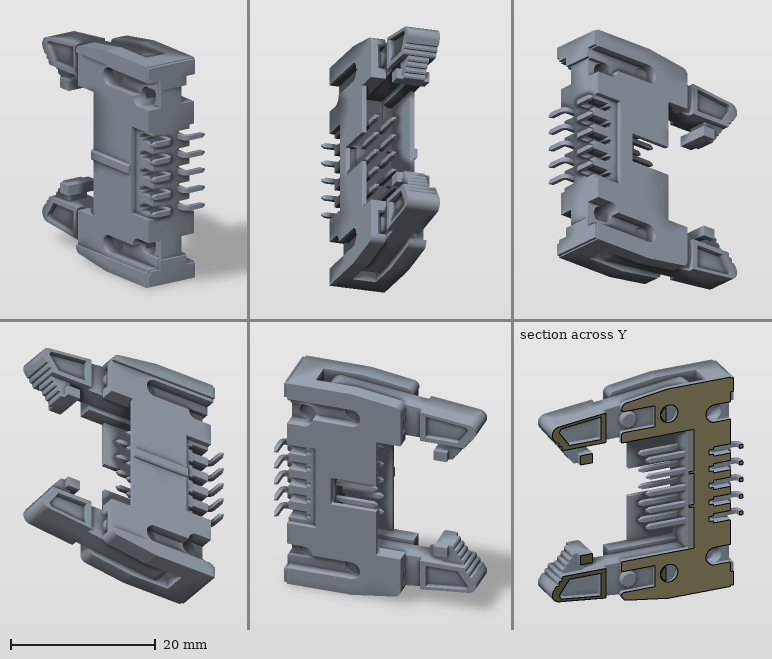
import cadquery as cq
import math


HALF_LENGTH = 16.0
HALF_WIDTH = 3.87
TOWER_FRONT = -16.6
MOUTH_FRONT = -13.02
TOWER_INNER_Z = 9.02
WEDGE_START_X = -9.47
TOWER_FRONT_TOP = 14.98
TOWER_ROUND = 1.0
FLANGE_BOTTOM = 14.0
FLANGE_OUTER_Y = 4.3

CAVITY_HALF_WIDTH = 3.2
CAVITY_FLOOR = -6.4
FLOOR_POCKET_INNER_Y = 2.18
FLOOR_POCKET_DEPTH = 0.75
POCKET_RAMP_START_Z = 6.8
FLOOR_RIB_Z = 2.55
FLOOR_RIB_WIDTH = 0.45
NOTCH_HALF_WIDTH = 2.1

KEY_HALF_WIDTH = 0.75
KEY_OUTER_Y = 4.32
KEY_CHAMFER_Z = 0.22
KEY_CHAMFER_Y = 0.15

CHANNEL_HALF_WIDTH = 1.7
CHANNEL_END = -3.5
CHANNEL_BOTTOM = 6.3
CHANNEL_RAMP_END = -4.75
CHANNEL_RAMP_RISE = 1.12
TRACK_HALF_WIDTH = 2.53
TRACK_BOTTOM = 10.62
TRACK_TOP = 13.75
TRACK_END = -11.52
TRACK_LEAD_Y = 0.35
TRACK_LEAD_Z = 0.22
TRACK_LEAD_DEPTH = 0.32

PIVOT_X = -9.38
PIVOT_Z = 12.15
HOLE_DIAMETER = 2.6
SLOT_WIDTH = 2.7
SLOT_FLOOR_Y = 2.4
MOUNT_X = -2.43
MOUNT_Z = 10.88
MOUNT_SLOT_FLOOR_Y = 1.75

PLATE_THICKNESS = 0.48
PLATE_INSET = 0.15

PIN_ROWS = 5
PIN_ROW_SPAN = 10.18
PIN_PITCH = PIN_ROW_SPAN / (PIN_ROWS - 1)
PIN_WIDTH = 0.65
PIN_FRONT = -12.4
PIN_BACK = 1.9
PIN_SPAN_Y = 9.0
PIN_END_Y = PIN_SPAN_Y / 2
PIN_TIP_LENGTH = 0.55
PIN_TIP_WIDTH = 0.22
PIN_BEND_RADIUS = 0.95
RECESS_FRONT = -4.15
RECESS_HALF_LENGTH = 6.35
RECESS_FLOOR_Y = 3.1
PIN_NECK_FRONT = -3.25
PIN_NECK_WIDTH = 0.67
PIN_SLOT_FRONT = -2.6
PIN_SLOT_WIDTH = 1.35

STEM_HALF_WIDTH = 1.5
GRIP_HALF_WIDTH = 2.4
GRIP_END = -18.95
LATCH_TIP = -27.15
LATCH_END = CHANNEL_RAMP_END
LATCH_SLOPE = math.radians(6.2)
TIP_RADIUS = 1.2
TIP_CENTRE_X = LATCH_TIP + TIP_RADIUS
TIP_CENTRE_Z = 12.2
TIP_ARC_END = math.radians(214)
LATCH_END_RADIUS = 1.45
SERRATION_FIRST_X = -26.15
SERRATION_FIRST_Z = 10.9
SERRATION_RISER = 0.45
SERRATION_CHAMFER_X = 0.15
SERRATION_CHAMFER_Z = 0.22
SERRATION_STEP_X = 0.5
SERRATION_STEP_Z = SERRATION_RISER + SERRATION_CHAMFER_Z
GRIP_RISERS = 2
WEB_RISERS = 4
LATCH_BOTTOM = SERRATION_FIRST_Z - GRIP_RISERS * SERRATION_STEP_Z
WEB_END = -22.0
HOOK_FRONT = -22.88
HOOK_BACK = -20.93
HOOK_TOP = 8.35
HOOK_BOTTOM = SERRATION_FIRST_Z - (GRIP_RISERS + WEB_RISERS) * SERRATION_STEP_Z
POCKET_BACK = -19.75
POCKET_FRONT_LOW = -24.48
POCKET_FRONT = -25.95
POCKET_BOTTOM = 10.25
POCKET_NOSE_Z = 12.32
POCKET_TOP_BACK = 13.6
POCKET_CORNER_RADIUS = 0.5
BOSS_DIAMETER = 2.5
BOSS_RAMP_X = -10.2
BOSS_RAMP_END_Y = 1.92
DETENT_X = -15.35
DETENT_HEIGHT = 0.7
DETENT_CHAMFER = 0.25

PAST = 1.6


def box(x0, x1, y0, y1, z0, z1):
    """Box between two opposite corners."""
    return cq.Workplane("XY").box(x1 - x0, y1 - y0, z1 - z0, centered=False).translate((x0, y0, z0))


def xz_prism(wire, y0, y1):
    """Extrude a closed outline drawn on the XZ plane from y0 to y1."""
    return wire.extrude(-(y1 - y0)).translate((0, y0, 0))


def y_cylinder(x, z, diameter, y0, y1):
    """Cylinder along Y."""
    return xz_prism(cq.Workplane("XZ").center(x, z).circle(diameter / 2), y0, y1)


def with_mirror(shape, plane):
    """A shape together with its mirror image."""
    return shape.union(shape.mirror(plane))




def housing_shell():
    """Middle block and two towers, with wedge-shaped outer ends and a flange on the -Y side."""

    def tower(y0, y1, bottom):
        outline = (
            cq.Workplane("XZ")
            .moveTo(TOWER_FRONT, bottom)
            .lineTo(TOWER_FRONT, TOWER_FRONT_TOP)
            .lineTo(WEDGE_START_X, HALF_LENGTH)
            .lineTo(0, HALF_LENGTH)
            .lineTo(0, bottom)
            .close()
        )
        corner = cq.selectors.NearestToPointSelector((TOWER_FRONT, (y0 + y1) / 2, TOWER_FRONT_TOP))
        return xz_prism(outline, y0, y1).edges(corner).fillet(TOWER_ROUND)

    upper = tower(-HALF_WIDTH, HALF_WIDTH, TOWER_INNER_Z)
    upper = upper.union(tower(-FLANGE_OUTER_Y, HALF_WIDTH, FLANGE_BOTTOM))
    middle = box(MOUTH_FRONT, 0, -HALF_WIDTH, HALF_WIDTH, -TOWER_INNER_Z, TOWER_INNER_Z)
    return with_mirror(upper, "XY").union(middle)


def cavity():
    """Mating cavity, its keying notch in the +Y wall, and the pockets in its floor."""
    cut = box(MOUTH_FRONT - PAST, CAVITY_FLOOR, -CAVITY_HALF_WIDTH, CAVITY_HALF_WIDTH,
              -TOWER_INNER_Z, TOWER_INNER_Z)
    cut = cut.union(box(MOUTH_FRONT - PAST, CAVITY_FLOOR, 0, HALF_WIDTH + PAST,
                        -NOTCH_HALF_WIDTH, NOTCH_HALF_WIDTH))
    rib_inner = FLOOR_RIB_Z - FLOOR_RIB_WIDTH / 2
    rib_outer = FLOOR_RIB_Z + FLOOR_RIB_WIDTH / 2
    inner_y, outer_y = FLOOR_POCKET_INNER_Y, CAVITY_HALF_WIDTH
    pocket_back = CAVITY_FLOOR + FLOOR_POCKET_DEPTH
    middle_pocket = box(CAVITY_FLOOR, pocket_back, inner_y, outer_y, -rib_inner, rib_inner)
    plain_pocket = box(CAVITY_FLOOR, pocket_back, -outer_y, -inner_y, rib_outer, TOWER_INNER_Z)
    ramped_outline = (
        cq.Workplane("XZ")
        .polyline([
            (CAVITY_FLOOR, rib_outer),
            (pocket_back, rib_outer),
            (pocket_back, POCKET_RAMP_START_Z),
            (CAVITY_FLOOR, TOWER_INNER_Z),
        ])
        .close()
    )
    ramped_pocket = xz_prism(ramped_outline, inner_y, outer_y)
    cut = cut.union(with_mirror(middle_pocket, "XZ"))
    return cut.union(with_mirror(plain_pocket, "XY")).union(with_mirror(ramped_pocket, "XY"))


def polarising_key():
    """Chamfered rib on the -Y face, from the mouth to the back recess."""
    return (
        cq.Workplane("YZ")
        .polyline([
            (-CAVITY_HALF_WIDTH, KEY_HALF_WIDTH),
            (-KEY_OUTER_Y + KEY_CHAMFER_Y, KEY_HALF_WIDTH),
            (-KEY_OUTER_Y, KEY_HALF_WIDTH - KEY_CHAMFER_Z),
            (-KEY_OUTER_Y, -KEY_HALF_WIDTH + KEY_CHAMFER_Z),
            (-KEY_OUTER_Y + KEY_CHAMFER_Y, -KEY_HALF_WIDTH),
            (-CAVITY_HALF_WIDTH, -KEY_HALF_WIDTH),
        ])
        .close()
        .extrude(RECESS_FRONT - MOUTH_FRONT)
        .translate((MOUTH_FRONT, 0, 0))
    )


def latch_channel():
    """Slit for the upper latch, open at the top and front, with a ramp in its floor."""
    outline = (
        cq.Workplane("XZ")
        .moveTo(TOWER_FRONT - PAST, CHANNEL_BOTTOM)
        .lineTo(CAVITY_FLOOR, CHANNEL_BOTTOM)
        .lineTo(CHANNEL_RAMP_END, CHANNEL_BOTTOM + CHANNEL_RAMP_RISE)
        .lineTo(CHANNEL_END, CHANNEL_BOTTOM + CHANNEL_RAMP_RISE)
        .lineTo(CHANNEL_END, HALF_LENGTH + PAST)
        .lineTo(TOWER_FRONT - PAST, HALF_LENGTH + PAST)
        .close()
    )
    return xz_prism(outline, -CHANNEL_HALF_WIDTH, CHANNEL_HALF_WIDTH)


def latch_track():
    """Wider track for the latch bosses, with a flared lead-in at the tower front."""
    track = box(TOWER_FRONT, TRACK_END, -TRACK_HALF_WIDTH, TRACK_HALF_WIDTH, TRACK_BOTTOM, TRACK_TOP)
    width = 2 * TRACK_HALF_WIDTH
    height = TRACK_TOP - TRACK_BOTTOM
    lead_in = (
        cq.Workplane("YZ", origin=(TOWER_FRONT, 0, (TRACK_TOP + TRACK_BOTTOM) / 2))
        .rect(width + 2 * TRACK_LEAD_Y, height + 2 * TRACK_LEAD_Z)
        .workplane(offset=TRACK_LEAD_DEPTH)
        .rect(width, height)
        .loft(ruled=True)
    )
    return track.union(lead_in)


def side_slots():
    """Pivot hole, mounting hole and the slots that run from them to the back face."""
    pivot = y_cylinder(PIVOT_X, PIVOT_Z, HOLE_DIAMETER, -SLOT_FLOOR_Y, SLOT_FLOOR_Y)
    outside = HALF_WIDTH + PAST
    mount = y_cylinder(MOUNT_X, MOUNT_Z, HOLE_DIAMETER, -outside, outside)
    slot_half = SLOT_WIDTH / 2
    slot = y_cylinder(PIVOT_X, PIVOT_Z, SLOT_WIDTH, SLOT_FLOOR_Y, outside)
    slot = slot.union(
        box(PIVOT_X, PAST, SLOT_FLOOR_Y, outside, PIVOT_Z - slot_half, PIVOT_Z + slot_half)
    )
    hole_half = HOLE_DIAMETER / 2
    slot = slot.union(
        box(MOUNT_X, PAST, MOUNT_SLOT_FLOOR_Y, outside, MOUNT_Z - hole_half, MOUNT_Z + hole_half)
    )
    return pivot.union(mount).union(with_mirror(slot, "XZ"))


def back_plate():
    """Thin raised plate on the back of the upper tower, inset from the tower's back outline."""
    bottom = MOUNT_Z + HOLE_DIAMETER / 2 + PLATE_INSET
    slot_top = PIVOT_Z + SLOT_WIDTH / 2 + PLATE_INSET
    flange_bottom = FLANGE_BOTTOM + PLATE_INSET
    top = HALF_LENGTH - PLATE_INSET
    core_y = SLOT_FLOOR_Y - PLATE_INSET
    side_y = HALF_WIDTH - PLATE_INSET
    flange_y = FLANGE_OUTER_Y - PLATE_INSET
    plate = box(0, PLATE_THICKNESS, -core_y, core_y, bottom, top)
    plate = plate.union(box(0, PLATE_THICKNESS, -side_y, side_y, slot_top, top))
    return plate.union(box(0, PLATE_THICKNESS, -flange_y, side_y, flange_bottom, top))


def pin_recess():
    """Recess on the +Y side at the back, with a necked slot over each pin."""
    outside = HALF_WIDTH + PAST
    cut = box(RECESS_FRONT, PAST, RECESS_FLOOR_Y, outside, -RECESS_HALF_LENGTH, RECESS_HALF_LENGTH)
    slot_floor = PIN_PITCH / 2
    for z in pin_heights():
        for front, width in ((PIN_NECK_FRONT, PIN_NECK_WIDTH), (PIN_SLOT_FRONT, PIN_SLOT_WIDTH)):
            cut = cut.union(box(front, PAST, slot_floor, outside, z - width / 2, z + width / 2))
    return cut


def pin_heights():
    """Z positions of the pin rows."""
    return [(row - (PIN_ROWS - 1) / 2) * PIN_PITCH for row in range(PIN_ROWS)]


def pin():
    """Square pin at z = 0 on the +Y side: straight through the floor, then bent outwards."""
    half = PIN_WIDTH / 2
    inner_y = PIN_PITCH / 2 - half
    outer_y = PIN_PITCH / 2 + half
    inner_radius = PIN_BEND_RADIUS - PIN_WIDTH
    shank_front = PIN_FRONT + PIN_TIP_LENGTH
    shank_end = PIN_END_Y - PIN_TIP_LENGTH
    leg_x = PIN_BACK - PIN_WIDTH
    shank = (
        cq.Workplane("XY")
        .moveTo(shank_front, inner_y)
        .lineTo(PIN_BACK - PIN_BEND_RADIUS, inner_y)
        .radiusArc((PIN_BACK, inner_y + PIN_BEND_RADIUS), -PIN_BEND_RADIUS)
        .lineTo(PIN_BACK, shank_end)
        .lineTo(leg_x, shank_end)
        .lineTo(leg_x, outer_y + inner_radius)
        .radiusArc((leg_x - inner_radius, outer_y), inner_radius)
        .lineTo(shank_front, outer_y)
        .close()
        .extrude(half, both=True)
    )
    taper = math.degrees(math.atan((PIN_WIDTH - PIN_TIP_WIDTH) / 2 / PIN_TIP_LENGTH))

    def tip(base, direction):
        plane = cq.Plane(origin=base, xDir=(0, 0, 1), normal=direction)
        return cq.Workplane(plane).rect(PIN_WIDTH, PIN_WIDTH).extrude(PIN_TIP_LENGTH, taper=taper)

    front_tip = tip((shank_front, PIN_PITCH / 2, 0), (-1, 0, 0))
    end_tip = tip((PIN_BACK - half, shank_end, 0), (0, 1, 0))
    return shank.union(front_tip).union(end_tip)


def make_housing():
    """Moulded housing with its fixed contact pins, as one body."""
    upper_cuts = latch_channel().union(latch_track()).union(side_slots())
    body = housing_shell().union(polarising_key())
    body = body.cut(cavity()).cut(with_mirror(upper_cuts, "XY")).cut(with_mirror(pin_recess(), "XZ"))
    body = body.union(with_mirror(back_plate(), "XY"))
    pin_pair = with_mirror(pin(), "XZ")
    for z in pin_heights():
        body = body.union(pin_pair.translate((0, 0, z)))
    return body




def tip_point(angle):
    """Point at an angle around the centre of the rounded latch tip."""
    return (TIP_CENTRE_X + TIP_RADIUS * math.cos(angle), TIP_CENTRE_Z + TIP_RADIUS * math.sin(angle))


def latch_top(x):
    """Height of the sloped top of the latch, tangent to its rounded tip."""
    return TIP_CENTRE_Z + TIP_RADIUS / math.cos(LATCH_SLOPE) + (x - TIP_CENTRE_X) * math.tan(LATCH_SLOPE)


def riser(index):
    """Top and bottom points of one serration riser, and the foot of the chamfer below it."""
    x = SERRATION_FIRST_X + index * SERRATION_STEP_X
    z = SERRATION_FIRST_Z - index * SERRATION_STEP_Z
    return [(x, z), (x, z - SERRATION_RISER), (x + SERRATION_CHAMFER_X, z - SERRATION_STEP_Z)]


def latch_grip():
    """Wide finger grip with a rounded tip and the first serrations."""
    tangent = math.pi / 2 + LATCH_SLOPE
    arc_end = tip_point(TIP_ARC_END)
    drop = arc_end[1] - SERRATION_FIRST_Z
    under_tip = (arc_end[0] + drop * math.tan(TIP_ARC_END - math.pi), SERRATION_FIRST_Z)
    outline = (
        cq.Workplane("XZ")
        .moveTo(GRIP_END, latch_top(GRIP_END))
        .lineTo(*tip_point(tangent))
        .threePointArc(tip_point((tangent + TIP_ARC_END) / 2), arc_end)
        .lineTo(*under_tip)
    )
    for index in range(GRIP_RISERS):
        for point in riser(index):
            outline = outline.lineTo(*point)
    outline = outline.lineTo(GRIP_END, LATCH_BOTTOM).close()
    return xz_prism(outline, -GRIP_HALF_WIDTH, GRIP_HALF_WIDTH)


def grip_pocket():
    """Recess in the +Y side of the grip, down to the stem width."""
    top_front = POCKET_TOP_BACK - (POCKET_BACK - POCKET_FRONT) * math.tan(LATCH_SLOPE)
    outline = (
        cq.Workplane("XZ")
        .polyline([
            (POCKET_BACK, POCKET_TOP_BACK),
            (POCKET_BACK, POCKET_BOTTOM),
            (POCKET_FRONT_LOW, POCKET_BOTTOM),
            (POCKET_FRONT, POCKET_NOSE_Z),
            (POCKET_FRONT, top_front),
        ])
        .close()
    )
    pocket = xz_prism(outline, STEM_HALF_WIDTH, GRIP_HALF_WIDTH)
    middle_y = (STEM_HALF_WIDTH + GRIP_HALF_WIDTH) / 2
    corner = cq.selectors.NearestToPointSelector((POCKET_FRONT, middle_y, top_front))
    return pocket.edges(corner).fillet(POCKET_CORNER_RADIUS)


def latch_stem():
    """Narrow arm from the grip to the rounded pivot end, with the ejector foot resting on the ramp."""
    outline = (
        cq.Workplane("XZ")
        .polyline([
            (GRIP_END, LATCH_BOTTOM),
            (CAVITY_FLOOR, LATCH_BOTTOM),
            (CAVITY_FLOOR, CHANNEL_BOTTOM),
            (LATCH_END, CHANNEL_BOTTOM + CHANNEL_RAMP_RISE),
            (LATCH_END, latch_top(LATCH_END)),
            (GRIP_END, latch_top(GRIP_END)),
        ])
        .close()
    )
    stem = xz_prism(outline, -STEM_HALF_WIDTH, STEM_HALF_WIDTH)
    corner = cq.selectors.NearestToPointSelector((LATCH_END, 0, latch_top(LATCH_END)))
    return stem.edges(corner).fillet(LATCH_END_RADIUS)


def latch_hook():
    """Serrated web under the grip and the wide locking bar at its end."""
    outline = cq.Workplane("XZ").moveTo(WEB_END, LATCH_BOTTOM)
    for index in range(GRIP_RISERS, GRIP_RISERS + WEB_RISERS):
        for point in riser(index):
            outline = outline.lineTo(*point)
    outline = outline.lineTo(WEB_END, HOOK_BOTTOM).close()
    web = xz_prism(outline, -STEM_HALF_WIDTH, STEM_HALF_WIDTH)
    return web.union(box(HOOK_FRONT, HOOK_BACK, -GRIP_HALF_WIDTH, GRIP_HALF_WIDTH, HOOK_BOTTOM, HOOK_TOP))


def latch_bosses():
    """Ramped pivot boss and chamfered detent boss on the +Y side of the stem."""
    pivot = y_cylinder(PIVOT_X, PIVOT_Z, BOSS_DIAMETER, 0, SLOT_FLOOR_Y)
    boss_back = PIVOT_X + BOSS_DIAMETER / 2
    ramp = (
        cq.Workplane("XY")
        .polyline([(BOSS_RAMP_X, SLOT_FLOOR_Y), (boss_back, BOSS_RAMP_END_Y), (boss_back, SLOT_FLOOR_Y)])
        .close()
        .extrude(BOSS_DIAMETER)
        .translate((0, 0, PIVOT_Z - BOSS_DIAMETER / 2))
    )
    detent = y_cylinder(DETENT_X, PIVOT_Z, BOSS_DIAMETER, 0, STEM_HALF_WIDTH + DETENT_HEIGHT)
    return pivot.cut(ramp).union(detent.faces(">Y").chamfer(DETENT_CHAMFER))


def make_latch():
    """Upper ejector latch."""
    latch = latch_grip().cut(with_mirror(grip_pocket(), "XZ"))
    latch = latch.union(latch_stem()).union(latch_hook())
    return latch.union(with_mirror(latch_bosses(), "XZ"))


housing = make_housing()
upper_latch = make_latch()
latches = [upper_latch, upper_latch.mirror("XY")]

result = cq.Compound.makeCompound([housing.val()] + [latch.val() for latch in latches])